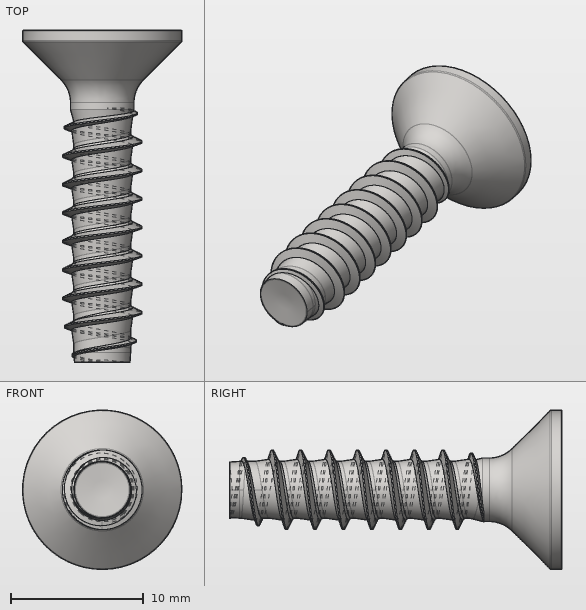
import cadquery as cq
import math

LENGTH = 25.0

CONE_ANGLE = math.radians(45)
HEAD_RADIUS = 6.0
RIM_HEIGHT = 0.85
RIM_TOP_FILLET = 0.08
RIM_CONE_FILLET = 0.15
NECK_FILLET = 2.4

SHANK_RADIUS = 2.4
SHANK_END = 5.98
CORE_RADIUS = 2.15
CORE_START = 6.9
TIP_TAPER_START = 24.25
TIP_RADIUS = 2.1

DIMPLE_RADIUS = 2.02
DIMPLE_DEPTH = 0.2

SEVEN_TURN_LENGTH = 15.0
LEAD = SEVEN_TURN_LENGTH / 7
CREST_RADIUS = 3.0
THREAD_START = 5.72
THREAD_CUT = 5.88
FULL_START = 7.88
FULL_END = 21.75
START_TAPER = 0.22
END_TAPER = (CREST_RADIUS - CORE_RADIUS) / (LENGTH - FULL_END)
STEPS_PER_TURN = 16

CREST_HALF = 0.05
TOOTH_TOE = -0.55
UPPER_FOOT = -0.38
LOWER_FOOT = 0.28
FOOT_RADIUS = 2.3
BASE_RADIUS = 2.02
UPPER_SLOPE = (FOOT_RADIUS - CORE_RADIUS) / (UPPER_FOOT - TOOTH_TOE)
LOWER_SLOPE = (CREST_RADIUS - FOOT_RADIUS) / (LOWER_FOOT - CREST_HALF)

RIDGE_END = 1.3
RIDGE_SLOPE = (FOOT_RADIUS - CORE_RADIUS) / (RIDGE_END - LOWER_FOOT)
RIDGE_FADE_START = 22.85
RIDGE_FADE_TAPER = 0.2


def make_body():
    """Head, neck fillet, shank and core as one turned solid."""
    cone_foot = RIM_HEIGHT + (HEAD_RADIUS - SHANK_RADIUS) / math.tan(CONE_ANGLE)
    half_turn = CONE_ANGLE / 2
    neck_tangent = NECK_FILLET * math.tan(half_turn)
    neck_arc_start = (
        SHANK_RADIUS + neck_tangent * math.sin(CONE_ANGLE),
        -(cone_foot - neck_tangent * math.cos(CONE_ANGLE)),
    )
    neck_arc_middle = (
        SHANK_RADIUS + NECK_FILLET * (1 - math.cos(half_turn)),
        -(cone_foot + neck_tangent - NECK_FILLET * math.sin(half_turn)),
    )
    body = (
        cq.Workplane("XY")
        .lineTo(HEAD_RADIUS, 0)
        .lineTo(HEAD_RADIUS, -RIM_HEIGHT)
        .lineTo(*neck_arc_start)
        .threePointArc(neck_arc_middle, (SHANK_RADIUS, -(cone_foot + neck_tangent)))
        .lineTo(SHANK_RADIUS, -SHANK_END)
        .lineTo(CORE_RADIUS, -CORE_START)
        .lineTo(CORE_RADIUS, -TIP_TAPER_START)
        .lineTo(TIP_RADIUS, -LENGTH)
        .lineTo(0, -LENGTH)
        .close()
        .revolve(360, (0, 0, 0), (0, 1, 0))
    )
    body = body.faces(">Y").edges().fillet(RIM_TOP_FILLET)
    cone_edge = cq.NearestToPointSelector((0, -RIM_HEIGHT, 0))
    return body.edges("%CIRCLE").edges(cone_edge).fillet(RIM_CONE_FILLET)


def tooth_drop(depth):
    """How far the tooth is sunk towards the axis at a crest depth."""
    return max(0, START_TAPER * (FULL_START - depth), END_TAPER * (depth - FULL_END))


def ridge_drop(depth):
    """How far the conical root is sunk towards the axis at a crest depth."""
    return max(0, RIDGE_FADE_TAPER * (depth - RIDGE_FADE_START))


def thread_section(depth):
    """Thread outline, as (offset from the crest centre, radius), at a crest depth."""
    sunk = tooth_drop(depth)
    foot_sunk = ridge_drop(depth)
    foot_shift = (sunk - foot_sunk) / (LOWER_SLOPE - RIDGE_SLOPE)
    return [
        (TOOTH_TOE - (CORE_RADIUS - BASE_RADIUS) / UPPER_SLOPE, BASE_RADIUS - sunk),
        (UPPER_FOOT, FOOT_RADIUS - sunk),
        (-CREST_HALF, CREST_RADIUS - sunk),
        (CREST_HALF, CREST_RADIUS - sunk),
        (LOWER_FOOT - foot_shift, FOOT_RADIUS - foot_sunk + RIDGE_SLOPE * foot_shift),
        (LOWER_FOOT + (FOOT_RADIUS - BASE_RADIUS) / RIDGE_SLOPE, BASE_RADIUS - foot_sunk),
    ]


def make_thread_turn(first_turn):
    """One full turn of thread as a solid, starting a given number of turns from the thread start."""
    traces = []
    for step in range(STEPS_PER_TURN + 1):
        turn = first_turn + step / STEPS_PER_TURN
        angle = 2 * math.pi * turn - math.pi / 2
        depth = THREAD_START + LEAD * turn
        traces.append([
            cq.Vector(radius * math.cos(angle), -(depth + offset), radius * math.sin(angle))
            for offset, radius in thread_section(depth)
        ])
    paths = [cq.Edge.makeSpline(list(points)) for points in zip(*traces)]
    faces = []
    for path, neighbour in zip(paths, paths[1:] + paths[:1]):
        faces.append(cq.Face.makeRuledSurface(path, neighbour))
    for corners in (traces[0], traces[-1]):
        faces.append(cq.Face.makeFromWires(cq.Wire.makePolygon(corners, close=True)))
    return cq.Workplane(cq.Solid.makeSolid(cq.Shell.makeShell(faces)))


def make_dimple():
    """Cone removed from the tip face."""
    return (
        cq.Workplane("XY")
        .moveTo(0, -LENGTH)
        .lineTo(DIMPLE_RADIUS, -LENGTH)
        .lineTo(0, -LENGTH + DIMPLE_DEPTH)
        .close()
        .revolve(360, (0, 0, 0), (0, 1, 0))
    )


thread_envelope = (
    cq.Workplane("XZ", origin=(0, -THREAD_CUT, 0))
    .circle(HEAD_RADIUS)
    .extrude(LENGTH - THREAD_CUT)
)
turn_count = math.ceil((LENGTH - THREAD_START) / LEAD)

result = make_body()
for turn in range(turn_count):
    result = result.union(make_thread_turn(turn).intersect(thread_envelope))
result = result.cut(make_dimple())